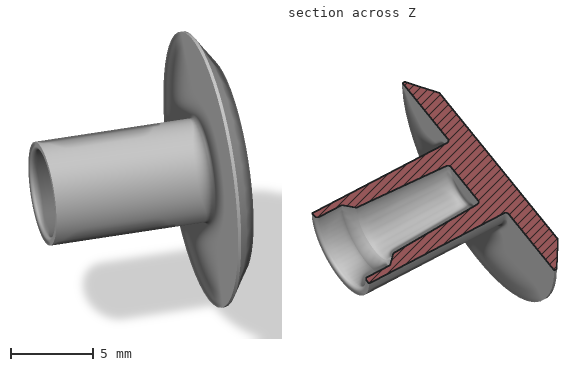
import cadquery as cq
import math

head_diameter = 17.0
head_thickness = 1.5
rim_thickness = 0.2
head_cone_angle = 35.0

shank_diameter = 6.4
shank_length = 10.0
root_fillet = 0.2

mouth_diameter = 5.4
mouth_rounding = 0.2
seat_angle = 45.0
seat_end_depth = 2.5
seat_end_diameter = 4.1
bore_depth = 9.0
bore_draft = 3.0
floor_fillet = 0.2

open_end = -shank_length
head_back = head_thickness
seat_length = (mouth_diameter - seat_end_diameter) / 2 / math.tan(math.radians(seat_angle))
seat_end = open_end + seat_end_depth
seat_start = seat_end - seat_length
bore_floor = open_end + bore_depth

head_radius = head_diameter / 2
cone_height = head_thickness - rim_thickness
head_back_radius = head_radius - cone_height / math.tan(math.radians(head_cone_angle))
bore_floor_radius = seat_end_diameter / 2 - (bore_floor - seat_end) * math.tan(math.radians(bore_draft))


def revolve_about_y(profile):
    return profile.close().revolve(360, (0, 0, 0), (0, 1, 0))


def make_body():
    """Head and shank as one turned solid, with a concave fillet between them."""
    shank_radius = shank_diameter / 2
    profile = (
        cq.Workplane("XY")
        .moveTo(0, open_end)
        .lineTo(shank_radius, open_end)
        .lineTo(shank_radius, -root_fillet)
        .radiusArc((shank_radius + root_fillet, 0), root_fillet)
        .lineTo(head_radius, 0)
        .lineTo(head_radius, rim_thickness)
        .lineTo(head_back_radius, head_back)
        .lineTo(0, head_back)
    )
    return revolve_about_y(profile)


def make_bore():
    """Rounded mouth, straight entry, conical seat and drafted blind bore."""
    mouth_radius = mouth_diameter / 2
    profile = (
        cq.Workplane("XY")
        .moveTo(0, open_end)
        .lineTo(mouth_radius + mouth_rounding, open_end)
        .radiusArc((mouth_radius, open_end + mouth_rounding), mouth_rounding)
        .lineTo(mouth_radius, seat_start)
        .lineTo(seat_end_diameter / 2, seat_end)
        .lineTo(bore_floor_radius, bore_floor)
        .lineTo(0, bore_floor)
    )
    return revolve_about_y(profile).faces(">Y").edges().fillet(floor_fillet)


result = make_body().cut(make_bore())